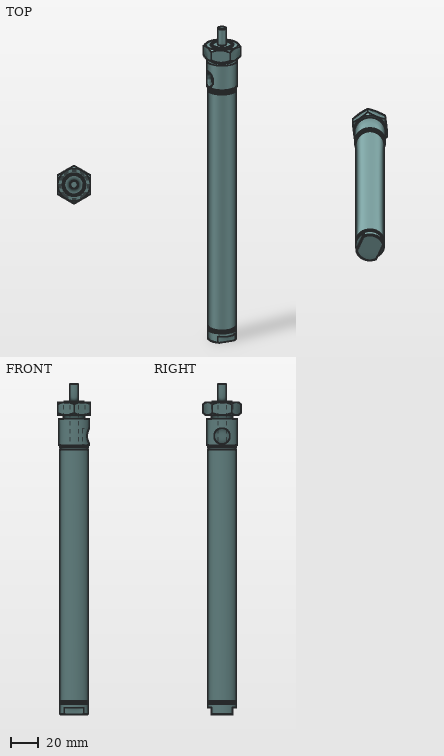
import cadquery as cq

total_length = 240.5
nut_top = 227.3
nut_bottom = 217.7
collar_top = 215.0
collar_bottom = 196.0
neck_top = 227.8

tube_radius = 10.46
collar_radius = 11.19
neck_radius = 7.7
neck_chamfer = 0.7
base_chamfer = 0.7

groove_depth = 0.5
upper_groove_height = 1.5
lower_groove_height = 0.7
upper_groove_levels = (193.2, 195.3)
lower_groove_levels = (8.0, 9.6)

flat_spacing = 15.5
flat_height = 5.0

port_radius = 5.8
port_level = 202.5
port_floor = 6.0

rod_radius = 3.1
rod_chamfer = 0.5
rod_bottom = collar_bottom

nut_across_corners = 27.7
nut_edge_radius = 11.8
nut_edge_height = 1.7
nut_bore_chamfer = 0.7


def cylinder(radius, bottom, top):
    """Upright cylinder on the Z axis between two levels."""
    return cq.Workplane("XY").workplane(offset=bottom).circle(radius).extrude(top - bottom)


def groove_ring(level, height):
    """Ring that cuts a shallow groove centred on a level of the tube."""
    bottom = level - height / 2
    top = level + height / 2
    outer = cylinder(collar_radius, bottom, top)
    return outer.cut(cylinder(tube_radius - groove_depth, bottom, top))


def make_housing():
    """Tube with collar, threaded neck, grooves, wrench flats, port and rod socket."""
    tube = cylinder(tube_radius, 0, collar_bottom).faces("<Z").chamfer(base_chamfer)
    collar = cylinder(collar_radius, collar_bottom, collar_top)
    neck = cylinder(neck_radius, collar_top, neck_top).faces(">Z").chamfer(neck_chamfer)
    body = tube.union(collar).union(neck)

    for level in upper_groove_levels:
        body = body.cut(groove_ring(level, upper_groove_height))
    for level in lower_groove_levels:
        body = body.cut(groove_ring(level, lower_groove_height))

    foot = cylinder(tube_radius, 0, flat_height)
    between_flats = cq.Workplane("XY").rect(2 * tube_radius, flat_spacing).extrude(flat_height)
    body = body.cut(foot.cut(between_flats))

    port = (
        cq.Workplane("YZ", origin=(port_floor, 0, port_level))
        .circle(port_radius)
        .extrude(collar_radius)
    )
    return body.cut(port).cut(cylinder(rod_radius, rod_bottom, neck_top))


def make_rod():
    """Plain rod seated in the housing socket."""
    return cylinder(rod_radius, rod_bottom, total_length).faces(">Z").chamfer(rod_chamfer)


def make_nut():
    """Hexagonal nut with corners pointing along Y and conical edges at both ends."""
    height = nut_top - nut_bottom
    corner_radius = nut_across_corners / 2
    blank = (
        cq.Workplane("XY")
        .workplane(offset=nut_bottom)
        .polygon(6, nut_across_corners)
        .extrude(height)
        .rotate((0, 0, 0), (0, 0, 1), 90)
    )
    edge_cone = cylinder(corner_radius, nut_bottom, nut_top).edges().chamfer(
        nut_edge_height, corner_radius - nut_edge_radius
    )
    bore = cylinder(neck_radius, nut_bottom, nut_top)
    countersink = (
        cq.Workplane("XY")
        .workplane(offset=nut_top)
        .circle(neck_radius + nut_bore_chamfer)
        .extrude(-nut_bore_chamfer, taper=45)
    )
    return blank.intersect(edge_cone).cut(bore).cut(countersink)


housing = make_housing()
rod = make_rod()
nut = make_nut()

result = cq.Compound.makeCompound([housing.val(), rod.val(), nut.val()])